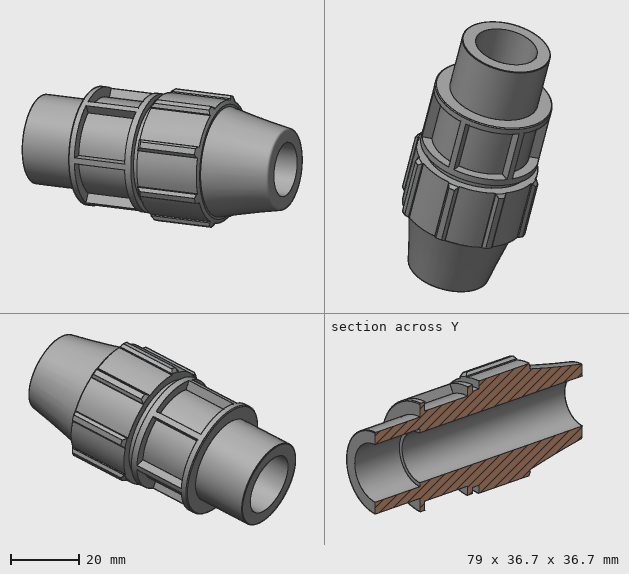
import cadquery as cq


SPIGOT_END = 17.0
COLLAR_END = 37.2
NUT_START = 39.5
NUT_END = 59.2
TOTAL_LENGTH = 79.0

SPIGOT_RADIUS = 26.44 / 2
SPIGOT_CHAMFER = 0.2
NECK_RADIUS = 31.2 / 2

COLLAR_RADIUS = 35.1 / 2
COLLAR_CHAMFER = 0.3
FLANGE_WIDTH = 2.0
POCKET_FLOOR_RADIUS = 14.6
POCKET_COUNT = 6
COLLAR_RIB_WIDTH = 1.8

NUT_RADIUS = 18.2
NUT_CHAMFER_LENGTH = 0.5
NUT_CHAMFER_DEPTH = 1.2
GRIP_COUNT = 8
GRIP_TOP_RADIUS = 19.5
GRIP_SHOULDER_RADIUS = 18.5
GRIP_WIDTH = 3.3
GRIP_TOP_WIDTH = 1.8
GRIP_START_BEVEL = 1.0
ENVELOPE_CLEARANCE = 1.0

NOSE_BASE_RADIUS = 16.3
NOSE_TIP_RADIUS = 12.05
NOSE_SAG = 0.2
NOSE_EDGE_RADIUS = 0.7

BORE_RADIUS = 16.0 / 2
COUNTERBORE_RADIUS = 18.51 / 2
COUNTERBORE_DEPTH = SPIGOT_END


def cylinder(radius, start, end):
    """Solid cylinder on the X axis between two stations."""
    return cq.Workplane("YZ").workplane(offset=start).circle(radius).extrude(end - start)


def revolve_profile(points):
    """Solid of revolution about the X axis from (station, radius) points."""
    return cq.Workplane("XY").polyline(points).close().revolve(360, (0, 0, 0), (1, 0, 0))


def make_spigot():
    spigot = cylinder(SPIGOT_RADIUS, 0, SPIGOT_END)
    return spigot.faces("<X").chamfer(SPIGOT_CHAMFER)


def make_collar():
    collar = cylinder(COLLAR_RADIUS, SPIGOT_END, COLLAR_END)
    collar = collar.faces("<X").chamfer(COLLAR_CHAMFER)

    pocket_start = SPIGOT_END + FLANGE_WIDTH
    pocket_end = COLLAR_END - FLANGE_WIDTH
    pocket_length = pocket_end - pocket_start
    pockets = cylinder(2 * COLLAR_RADIUS, pocket_start, pocket_end)
    pockets = pockets.cut(cylinder(POCKET_FLOOR_RADIUS, pocket_start, pocket_end))
    rib = cq.Workplane("XY").box(
        pocket_length, 2 * COLLAR_RADIUS, COLLAR_RIB_WIDTH, centered=(False, False, True)
    )
    rib = rib.translate((pocket_start, 0, 0))
    for index in range(POCKET_COUNT):
        angle = index * 360 / POCKET_COUNT
        pockets = pockets.cut(rib.rotate((0, 0, 0), (1, 0, 0), angle))
    return collar.cut(pockets)


def make_grip():
    """One grip rib along +Y, bevelled along its sides and at its starting end."""
    section = [
        (0, -GRIP_WIDTH / 2),
        (GRIP_SHOULDER_RADIUS, -GRIP_WIDTH / 2),
        (GRIP_TOP_RADIUS, -GRIP_TOP_WIDTH / 2),
        (GRIP_TOP_RADIUS, GRIP_TOP_WIDTH / 2),
        (GRIP_SHOULDER_RADIUS, GRIP_WIDTH / 2),
        (0, GRIP_WIDTH / 2),
    ]
    grip = cq.Workplane("YZ").workplane(offset=NUT_START).polyline(section).close()
    grip = grip.extrude(NUT_END - NUT_START)
    side_outline = [
        (NUT_START, 0),
        (NUT_START, GRIP_SHOULDER_RADIUS),
        (NUT_START + GRIP_START_BEVEL, GRIP_TOP_RADIUS),
        (NUT_END, GRIP_TOP_RADIUS),
        (NUT_END, 0),
    ]
    side = cq.Workplane("XY").polyline(side_outline).close().extrude(GRIP_WIDTH / 2, both=True)
    return grip.intersect(side)


def make_nut():
    nut = cylinder(NUT_RADIUS, NUT_START, NUT_END)
    grip = make_grip()
    pitch = 360 / GRIP_COUNT
    for index in range(GRIP_COUNT):
        nut = nut.union(grip.rotate((0, 0, 0), (1, 0, 0), (index + 0.5) * pitch))

    end_radius = NUT_RADIUS - NUT_CHAMFER_DEPTH
    cone_slope = NUT_CHAMFER_DEPTH / NUT_CHAMFER_LENGTH
    envelope_radius = GRIP_TOP_RADIUS + ENVELOPE_CLEARANCE
    cone_start = NUT_END - (envelope_radius - end_radius) / cone_slope
    envelope = revolve_profile([
        (NUT_START, 0),
        (NUT_START, envelope_radius),
        (cone_start, envelope_radius),
        (NUT_END, end_radius),
        (NUT_END, 0),
    ])
    return nut.intersect(envelope)


def make_nose():
    middle_station = (NUT_END + TOTAL_LENGTH) / 2
    middle_radius = (NOSE_BASE_RADIUS + NOSE_TIP_RADIUS) / 2 - NOSE_SAG
    profile = cq.Workplane("XY").moveTo(NUT_END, 0).lineTo(NUT_END, NOSE_BASE_RADIUS)
    profile = profile.threePointArc((middle_station, middle_radius), (TOTAL_LENGTH, NOSE_TIP_RADIUS))
    profile = profile.lineTo(TOTAL_LENGTH, 0).close()
    nose = profile.revolve(360, (0, 0, 0), (1, 0, 0))
    return nose.faces(">X").edges().fillet(NOSE_EDGE_RADIUS)


def make_coupling():
    body = make_spigot().union(make_collar())
    body = body.union(cylinder(NECK_RADIUS, COLLAR_END, NUT_START))
    body = body.union(make_nut()).union(make_nose())
    body = body.cut(cylinder(BORE_RADIUS, 0, TOTAL_LENGTH))
    return body.cut(cylinder(COUNTERBORE_RADIUS, 0, COUNTERBORE_DEPTH))


result = make_coupling()